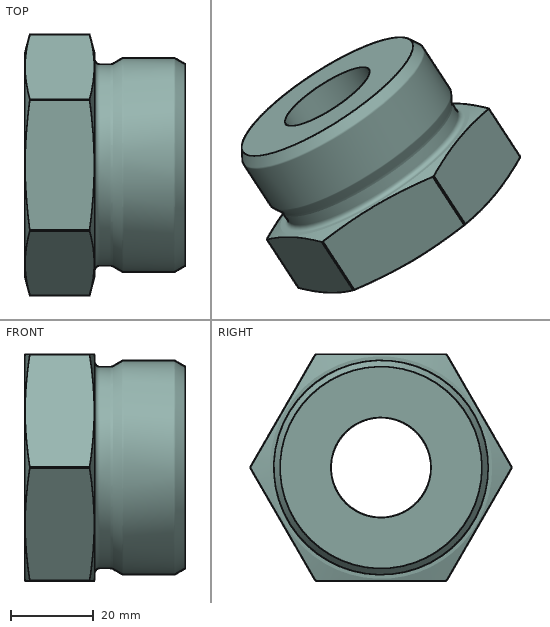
import cadquery as cq
import math

total_length = 39.0
hex_length = 17.0
across_flats = 55.0
across_corners = 63.3
hex_face_diameter = 53.9
hex_chamfer_angle = 15.0

thread_diameter = 52.0
neck_diameter = 48.9
undercut_length = 6.8
cone_angle = 30.0
neck_fillet = 1.2
crest_fillet = 0.8

bore_diameter = 24.2
countersink_diameter = 26.7
countersink_angle = 45.0

corner_radius = across_corners / 2
thread_radius = thread_diameter / 2
neck_radius = neck_diameter / 2
bore_radius = bore_diameter / 2
countersink_radius = countersink_diameter / 2
hex_face_radius = hex_face_diameter / 2
hex_chamfer_length = (corner_radius - hex_face_radius) * math.tan(math.radians(hex_chamfer_angle))
cone_length = (thread_radius - neck_radius) / math.tan(math.radians(cone_angle))
countersink_depth = (countersink_radius - bore_radius) / math.tan(math.radians(countersink_angle))
thread_start = hex_length + undercut_length
neck_end = thread_start - cone_length
lead_in_start = total_length - cone_length


def revolve_about_x(points):
    """Turn a closed (X, radius) outline about the X axis."""
    return cq.Workplane("XY").polyline(points).close().revolve(360, (0, 0, 0), (1, 0, 0))


def circles_at(x, radius):
    """Box selector for the circular edge of a given radius at a given X."""
    margin = 0.05
    reach = radius + margin
    return cq.selectors.BoxSelector(
        (x - margin, -reach, -reach), (x + margin, reach, reach), boundingbox=True
    )


def make_hex_head():
    """Hexagon with two flats facing up and down, chamfered at both ends."""
    hexagon = (
        cq.Workplane("YZ")
        .polygon(6, across_flats / math.cos(math.pi / 6))
        .extrude(hex_length)
    )
    turned_envelope = revolve_about_x([
        (0, 0),
        (0, hex_face_radius),
        (hex_chamfer_length, corner_radius),
        (hex_length - hex_chamfer_length, corner_radius),
        (hex_length, hex_face_radius),
        (hex_length, 0),
    ])
    return hexagon.intersect(turned_envelope)


def make_spigot():
    """Undercut neck, cone up to the thread diameter, and lead-in chamfer."""
    return revolve_about_x([
        (0, 0),
        (0, neck_radius),
        (neck_end, neck_radius),
        (thread_start, thread_radius),
        (lead_in_start, thread_radius),
        (total_length, neck_radius),
        (total_length, 0),
    ])


def make_bore():
    """Through bore with a countersink at the hexagon end."""
    return revolve_about_x([
        (0, 0),
        (0, countersink_radius),
        (countersink_depth, bore_radius),
        (total_length, bore_radius),
        (total_length, 0),
    ])


body = make_hex_head().union(make_spigot())

for x in (hex_length, neck_end):
    body = body.edges(circles_at(x, neck_radius)).fillet(neck_fillet)

for x in (thread_start, lead_in_start):
    body = body.edges(circles_at(x, thread_radius)).fillet(crest_fillet)

result = body.cut(make_bore())